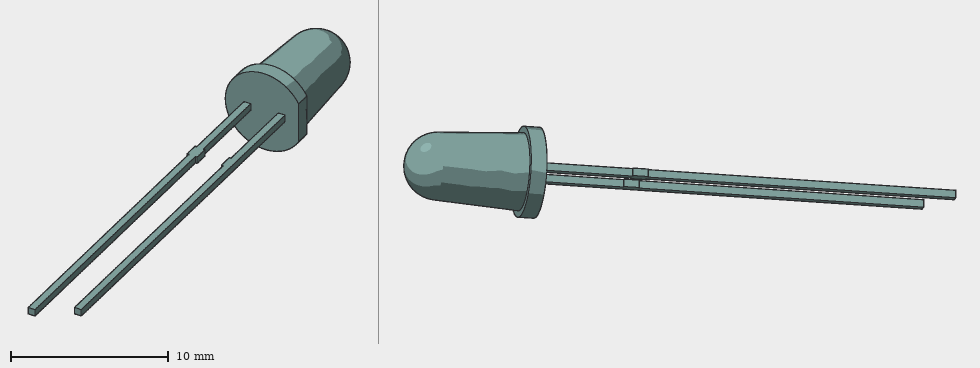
import cadquery as cq
import math


overall_length = 35.6
overall_width = 5.4

lens_height = 8.6
lens_base_radius = 2.5
dome_radius = 2.17

flange_diameter = 5.8
flange_radius = flange_diameter / 2
flange_thickness = 1.05
flat_x = overall_width - flange_radius

lead_pitch = 2.53
lead_width = 0.5
lead_thickness = 0.5
long_lead_length = overall_length - lens_height
lead_length_difference = 1.5
short_lead_length = long_lead_length - lead_length_difference
stop_top = 5.9
stop_length = 1.0
stop_overhang = 0.125


def make_lens():
    """Tapered body whose wall runs tangent into a spherical dome."""
    dome_center_y = lens_height - dome_radius
    wall_rise = dome_center_y - flange_thickness
    center_distance = math.hypot(lens_base_radius, wall_rise)
    tangent_angle = math.acos(dome_radius / center_distance) - math.atan2(wall_rise, lens_base_radius)
    mid_angle = (tangent_angle + math.pi / 2) / 2

    def dome_point(angle):
        return (dome_radius * math.cos(angle), dome_center_y + dome_radius * math.sin(angle))

    profile = (
        cq.Workplane("XY")
        .moveTo(0, flange_thickness)
        .lineTo(lens_base_radius, flange_thickness)
        .lineTo(*dome_point(tangent_angle))
        .threePointArc(dome_point(mid_angle), (0, lens_height))
        .close()
    )
    return profile.revolve(360, (0, 0, 0), (0, 1, 0))


def make_flange():
    """Round flange with a flat on the +X side."""
    disc = cq.Workplane("XZ").circle(flange_radius).extrude(-flange_thickness)
    cutter = cq.Workplane("XY").box(flange_diameter, flange_diameter, flange_diameter)
    cutter = cutter.translate((flat_x + flange_radius, 0, 0))
    return disc.cut(cutter)


def make_bar(x_min, x_max, y_top, length):
    """Flat bar of lead stock running from y_top towards -Y."""
    return (
        cq.Workplane("XY")
        .box(x_max - x_min, length, lead_thickness)
        .translate(((x_min + x_max) / 2, y_top - length / 2, 0))
    )


def make_lead(center_x, length, right_overhang):
    """Lead with a wider stop; the stop always overhangs on the -X side."""
    left = center_x - lead_width / 2
    right = center_x + lead_width / 2
    shank = make_bar(left, right, 0, length)
    stop = make_bar(left - stop_overhang, right + right_overhang, -stop_top, stop_length)
    return shank.union(stop)


long_lead = make_lead(-lead_pitch / 2, long_lead_length, stop_overhang)
short_lead = make_lead(lead_pitch / 2, short_lead_length, 0)

result = make_lens().union(make_flange()).union(long_lead).union(short_lead)